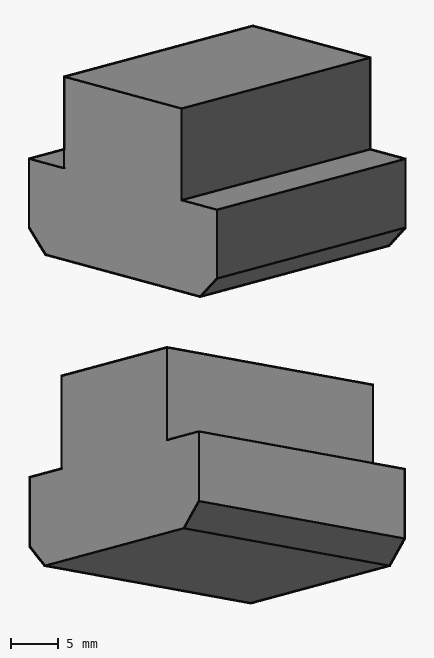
import cadquery as cq

width = 28.0
length = 28.0
height = 20.0

flange_height = height / 2
neck_width = 17.5
chamfer_size = 2.5

flange = (
    cq.Workplane("XY")
    .box(width, length, flange_height, centered=(True, True, False))
    .faces("<Z")
    .edges("|Y")
    .chamfer(chamfer_size)
)

neck = (
    cq.Workplane("XY")
    .workplane(offset=flange_height)
    .box(neck_width, length, height - flange_height, centered=(True, True, False))
)

result = flange.union(neck)